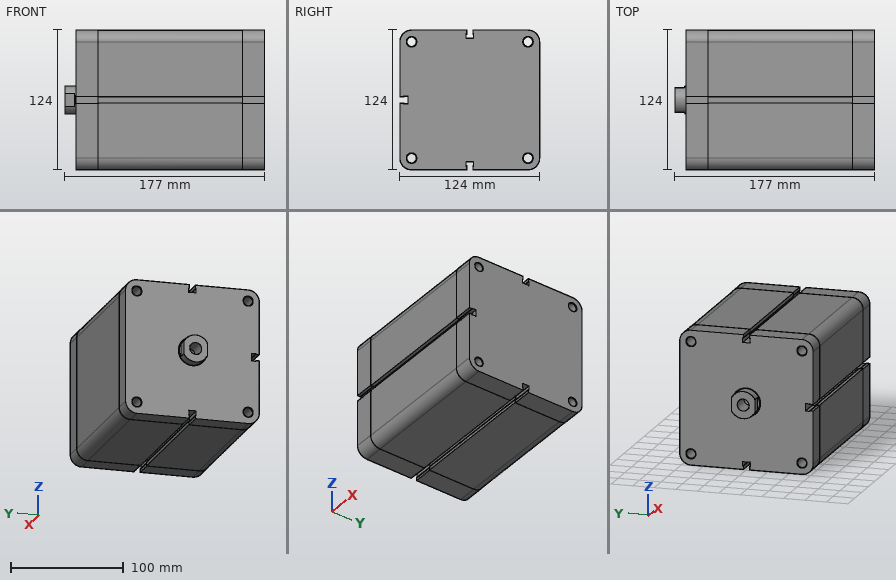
import cadquery as cq
import math

TOTAL_LENGTH = 177
SIDE = 124.0
BARREL_SIDE = 123.7
CAP_LENGTH = 19.6
CORNER_RADIUS = 10.5

ROD_PROTRUSION = 9.7
ROD_DIAMETER = 25.0
FLAT_LENGTH = 8.3
FLAT_RUN_OUT = 0.7
ACROSS_FLATS = 22.0
ROD_HOLE_DIAMETER = 11.0
ROD_HOLE_DEPTH = 20.0
DRILL_POINT_ANGLE = 118
BORE_CHAMFER = 0.7

SCREW_HOLE_DIAMETER = 8.3
SCREW_HOLE_CHAMFER = 0.5

SLOT_DEPTH = 7.3
CAP_MOUTH_WIDTH = 5.8
CAP_MOUTH_DEPTH = 3.2
CAP_CHANNEL_WIDTH = 6.9
BARREL_MOUTH_WIDTH = 5.3
BARREL_MOUTH_DEPTH = 3.9
BARREL_CHANNEL_WIDTH = 6.4
SLOT_ANGLES = (0, 90, 180)

housing_length = TOTAL_LENGTH - ROD_PROTRUSION
barrel_length = housing_length - 2 * CAP_LENGTH
screw_spacing = SIDE - 2 * CORNER_RADIUS


def plane_across_axis(x):
    """Sketch plane at X = x, facing +X."""
    return cq.Workplane("YZ", origin=(x, 0, 0))


def slot_cutter(start, length, mouth_width, mouth_depth, channel_width):
    """Stepped slot running along X, its depths measured from the top of the caps."""
    top = SIDE / 2
    channel_depth = SLOT_DEPTH - mouth_depth
    mouth = (
        plane_across_axis(start)
        .center(0, top - mouth_depth / 2)
        .rect(mouth_width, mouth_depth)
        .extrude(length)
    )
    channel = (
        plane_across_axis(start)
        .center(0, top - mouth_depth - channel_depth / 2)
        .rect(channel_width, channel_depth)
        .extrude(length)
    )
    return mouth.union(channel)


def housing_section(side, start, length, mouth_width, mouth_depth, channel_width):
    """Rounded square block with the four screw holes and the three slots."""
    block = plane_across_axis(start).rect(side, side).extrude(length)
    block = block.edges("|X").fillet((side - screw_spacing) / 2)
    screw_holes = (
        plane_across_axis(start)
        .rect(screw_spacing, screw_spacing, forConstruction=True)
        .vertices()
        .circle(SCREW_HOLE_DIAMETER / 2)
        .extrude(length)
    )
    block = block.cut(screw_holes)
    slot = slot_cutter(start, length, mouth_width, mouth_depth, channel_width)
    for angle in SLOT_ANGLES:
        block = block.cut(slot.rotate((0, 0, 0), (1, 0, 0), angle))
    return block


def countersink_cone(radius, chamfer, y, z):
    """45-degree cone opening towards -X at X = 0, widening a hole of the given radius."""
    return cq.Workplane(
        cq.Solid.makeCone(radius + chamfer, radius, chamfer, cq.Vector(0, y, z), cq.Vector(1, 0, 0))
    )


def make_end_cap():
    """End cap with its outer face at X = 0 and the screw holes chamfered there."""
    cap = housing_section(SIDE, 0, CAP_LENGTH, CAP_MOUTH_WIDTH, CAP_MOUTH_DEPTH, CAP_CHANNEL_WIDTH)
    for y in (-screw_spacing / 2, screw_spacing / 2):
        for z in (-screw_spacing / 2, screw_spacing / 2):
            cap = cap.cut(countersink_cone(SCREW_HOLE_DIAMETER / 2, SCREW_HOLE_CHAMFER, y, z))
    return cap


def make_front_cap():
    """End cap with a chamfered through bore for the rod."""
    bore = plane_across_axis(0).circle(ROD_DIAMETER / 2).extrude(CAP_LENGTH)
    return make_end_cap().cut(bore).cut(countersink_cone(ROD_DIAMETER / 2, BORE_CHAMFER, 0, 0))


def make_barrel():
    """Slotted profile between the caps, slightly narrower than them."""
    return housing_section(
        BARREL_SIDE,
        CAP_LENGTH,
        barrel_length,
        BARREL_MOUTH_WIDTH,
        BARREL_MOUTH_DEPTH,
        BARREL_CHANNEL_WIDTH,
    )


def make_rear_cap():
    """Closed end cap facing the other way, behind the barrel."""
    return make_end_cap().mirror("YZ").translate((housing_length, 0, 0))


def flat_cutter():
    """Wrench flat on the +Y side of the rod tip, ending in a short sloped run-out."""
    flat_y = ACROSS_FLATS / 2
    outside_y = ROD_DIAMETER / 2
    flat_end = FLAT_LENGTH - ROD_PROTRUSION
    return (
        cq.Workplane("XY")
        .moveTo(-ROD_PROTRUSION, flat_y)
        .lineTo(flat_end, flat_y)
        .lineTo(flat_end + FLAT_RUN_OUT, outside_y)
        .lineTo(-ROD_PROTRUSION, outside_y)
        .close()
        .extrude(ROD_DIAMETER / 2, both=True)
    )


def drilled_hole():
    """Blind hole along the rod axis, with a conical drill point."""
    radius = ROD_HOLE_DIAMETER / 2
    point_length = radius / math.tan(math.radians(DRILL_POINT_ANGLE / 2))
    hole_end = ROD_HOLE_DEPTH - ROD_PROTRUSION
    return (
        cq.Workplane("XY")
        .moveTo(-ROD_PROTRUSION, 0)
        .lineTo(-ROD_PROTRUSION, radius)
        .lineTo(hole_end, radius)
        .lineTo(hole_end + point_length, 0)
        .close()
        .revolve(360, (0, 0, 0), (1, 0, 0))
    )


def make_rod():
    """Piston rod reaching through the front cap to the barrel."""
    rod = plane_across_axis(-ROD_PROTRUSION).circle(ROD_DIAMETER / 2)
    rod = rod.extrude(ROD_PROTRUSION + CAP_LENGTH)
    flat = flat_cutter()
    return rod.cut(flat).cut(flat.mirror("XZ")).cut(drilled_hole())


front_cap = make_front_cap()
barrel = make_barrel()
rear_cap = make_rear_cap()
rod = make_rod()

result = cq.Compound.makeCompound([body.solids().val() for body in (front_cap, barrel, rear_cap, rod)])